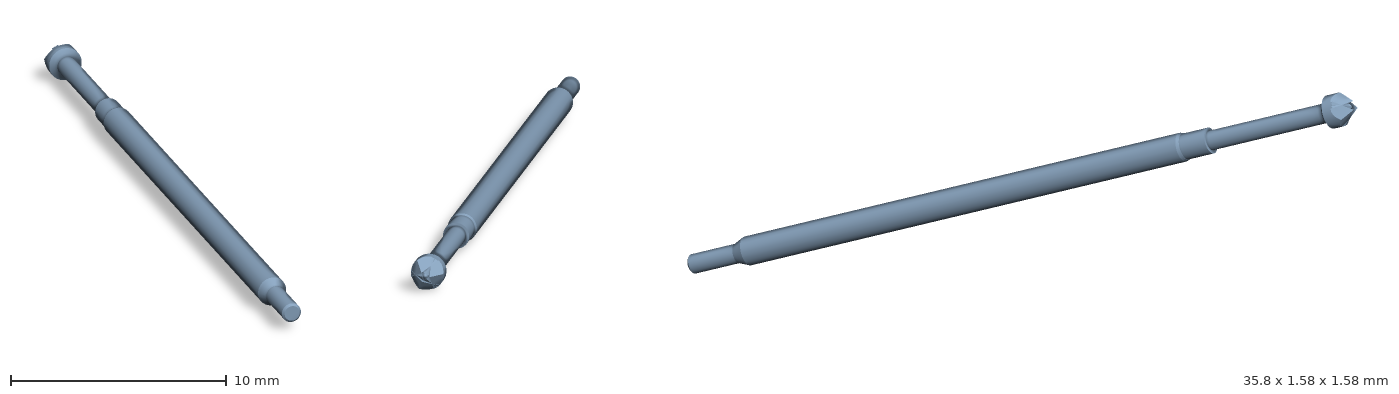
import cadquery as cq
import math

TOTAL_LENGTH = 35.81

HEAD_DIAMETER = 1.58
PLUNGER_DIAMETER = 0.92
COLLAR_DIAMETER = 1.23
BARREL_DIAMETER = 1.37
TAIL_DIAMETER = 0.92

CROWN_END = 1.1
HEAD_RIM_END = 1.33
HEAD_BACK_END = 1.55
COLLAR_START = 7.77
BARREL_START = 9.13
BARREL_END = 33.17

BARREL_MOUTH_LENGTH = 0.15
BARREL_MOUTH_DEPTH = 0.05
BARREL_TAPER_LENGTH = 0.4
BARREL_END_DIAMETER = 1.04
BARREL_LIP_LENGTH = 0.15
TAIL_CHAMFER = 0.1

TOOTH_COUNT = 3
FIRST_TOOTH_ANGLE = 56.0
TOOTH_TIP_RADIUS = 0.25
TOOTH_ROOF_HALF_ANGLE = 45.0
CORE_TIP_X = 0.15
CORE_RIM_X = 0.94
SMALL_TOOTH_START_X = 0.1
SMALL_TOOTH_START_RADIUS = 0.12

HEAD_RADIUS = HEAD_DIAMETER / 2


def revolve_profile(points):
    """Turn an (X, radius) outline around the X axis."""
    return cq.Workplane("XY").polyline(points).close().revolve(360, (0, 0, 0), (1, 0, 0))


def make_body():
    """Head base, plunger, collar, barrel and tail as one turned solid."""
    plunger_radius = PLUNGER_DIAMETER / 2
    collar_radius = COLLAR_DIAMETER / 2
    barrel_radius = BARREL_DIAMETER / 2
    tail_radius = TAIL_DIAMETER / 2
    return revolve_profile([
        (CROWN_END, 0),
        (CROWN_END, HEAD_RADIUS),
        (HEAD_RIM_END, HEAD_RADIUS),
        (HEAD_BACK_END, plunger_radius),
        (COLLAR_START, plunger_radius),
        (COLLAR_START, collar_radius),
        (BARREL_START, collar_radius),
        (BARREL_START, barrel_radius - BARREL_MOUTH_DEPTH),
        (BARREL_START + BARREL_MOUTH_LENGTH, barrel_radius),
        (BARREL_END - BARREL_TAPER_LENGTH, barrel_radius),
        (BARREL_END, BARREL_END_DIAMETER / 2),
        (BARREL_END + BARREL_LIP_LENGTH, tail_radius),
        (TOTAL_LENGTH - TAIL_CHAMFER, tail_radius),
        (TOTAL_LENGTH, tail_radius - TAIL_CHAMFER),
        (TOTAL_LENGTH, 0),
    ])


def make_tooth(start_x, start_radius, angle):
    """Roof-shaped tooth along +Y, its ridge climbing at 45 degrees, turned about X to the given angle."""
    depth = CORE_RIM_X
    half_width = depth * math.tan(math.radians(TOOTH_ROOF_HALF_ANGLE))
    ridge_run = HEAD_DIAMETER

    def roof_section(advance):
        ridge_x = start_x + advance
        base_x = ridge_x + depth
        corners = [(ridge_x, 0), (base_x, half_width), (base_x, -half_width)]
        radius = start_radius + advance
        return cq.Wire.makePolygon([cq.Vector(x, radius, z) for x, z in corners], close=True)

    roof = cq.Workplane(cq.Solid.makeLoft([roof_section(0), roof_section(ridge_run)], True))
    return roof.rotate((0, 0, 0), (1, 0, 0), angle)


def make_crown():
    """Conical core with its teeth, trimmed to the head diameter."""
    core_slope = HEAD_RADIUS / (CORE_RIM_X - CORE_TIP_X)
    core_radius = core_slope * (CROWN_END - CORE_TIP_X)
    crown = revolve_profile([(CORE_TIP_X, 0), (CROWN_END, core_radius), (CROWN_END, 0)])
    pitch = 360 / TOOTH_COUNT
    for index in range(TOOTH_COUNT):
        angle = FIRST_TOOTH_ANGLE + index * pitch
        large_tooth = make_tooth(0, TOOTH_TIP_RADIUS, angle)
        small_tooth = make_tooth(SMALL_TOOTH_START_X, SMALL_TOOTH_START_RADIUS, angle + pitch / 2)
        crown = crown.union(large_tooth).union(small_tooth)
    return crown.intersect(cq.Workplane("YZ").circle(HEAD_RADIUS).extrude(CROWN_END))


result = make_body().union(make_crown())